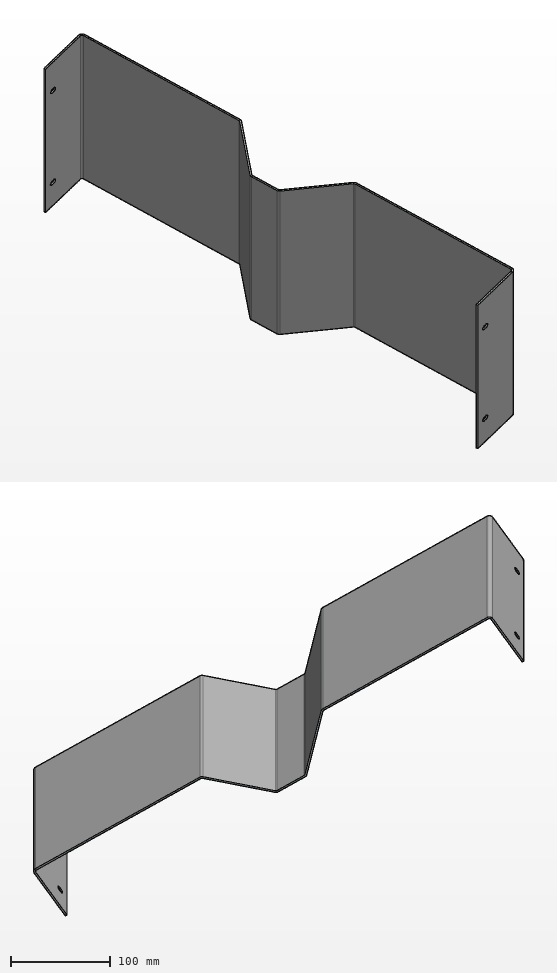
import cadquery as cq
import math

width = 544.0
depth = 62.0
height = 208.0
thickness = 2.0

inner_radius = 2.0
outer_radius = inner_radius + thickness

channel_depth = 54.5
channel_floor_half = 17.0
channel_angle = 45.0
channel_run = channel_depth / math.tan(math.radians(channel_angle))
channel_mouth_half = channel_floor_half + channel_run

slot_length = 8.0
slot_width = 5.0
slot_spacing = 133.0
slot_from_front = 12.5
slot_drop = 4.0

miter = thickness * math.tan(math.radians(channel_angle / 2))


def right_half(flange_x, sheet_y, mouth_half, floor_half):
    """Points of one sheet surface from the channel floor to the flange's free edge."""
    return [
        (floor_half, sheet_y - channel_depth),
        (mouth_half, sheet_y),
        (flange_x, sheet_y),
        (flange_x, 0),
    ]


def mirrored(points):
    return [(-x, y) for x, y in points]


def bend_edges(body, points, radius):
    """Round the upright edges at the given surface points."""
    for x, y in points:
        edge = cq.selectors.NearestToPointSelector((x, y, height / 2))
        body = body.edges("|Z").edges(edge).fillet(radius)
    return body


def make_sheet():
    rear = right_half(width / 2, depth, channel_mouth_half, channel_floor_half)
    front = right_half(
        width / 2 - thickness,
        depth - thickness,
        channel_mouth_half + miter,
        channel_floor_half + miter,
    )
    outline = mirrored(rear)[::-1] + rear + front[::-1] + mirrored(front)
    body = cq.Workplane("XY").polyline(outline).close().extrude(height)

    wide_bends = rear[1:3] + front[:1]
    tight_bends = front[1:3] + rear[:1]
    body = bend_edges(body, wide_bends + mirrored(wide_bends), outer_radius)
    return bend_edges(body, tight_bends + mirrored(tight_bends), inner_radius)


def make_slots():
    """Cutters running along X through both end flanges only."""
    offset = slot_spacing / 2
    cutters = (
        cq.Workplane("YZ", origin=(width / 2 - thickness, slot_from_front, height / 2 - slot_drop))
        .pushPoints([(0, -offset), (0, offset)])
        .slot2D(slot_length, slot_width)
        .extrude(thickness)
    )
    return cutters.union(cutters.mirror("YZ"))


result = make_sheet().cut(make_slots())